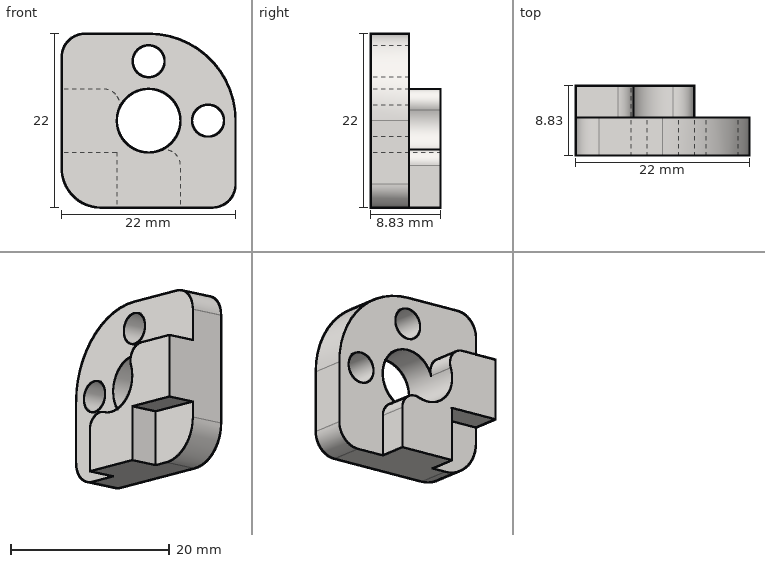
import cadquery as cq
import math

side = 22.0
half = side / 2
plate_thickness = 4.85
small_corner = 3.0
large_corner = 5.0

bore_radius = 4.0
screw_hole_radius = 2.0
screw_offset = 7.5
screw_centres = [(0, screw_offset), (screw_offset, 0)]

arm_height = 3.98
total_depth = plate_thickness + arm_height
arm_half_width = bore_radius
tip_radius = 2.0


def plate_box(x_min, z_min, size):
    """Square block as thick as the plate."""
    return cq.Workplane("XY").box(size, plate_thickness, size, centered=False).translate((x_min, 0, z_min))


def cylinder(x, z, radius):
    """Cylinder along Y through the plate and the arms."""
    axis_start = cq.Vector(x, 0, z)
    return cq.Workplane(cq.Solid.makeCylinder(radius, total_depth, axis_start, cq.Vector(0, 1, 0)))


def mirrored(point):
    """Point reflected across the line x = z."""
    return point[1], point[0]


def make_plate():
    """Square plate with four rounded corners."""
    plate = plate_box(-half, -half, side)
    plate = plate.edges("<X and >Z").fillet(small_corner)
    plate = plate.edges(">X and <Z").fillet(small_corner)
    lower_left = cq.selectors.NearestToPointSelector((-half, plate_thickness / 2, -half))
    plate = plate.edges(lower_left).fillet(large_corner)
    quadrant = plate_box(0, 0, half)
    corner_waste = quadrant.cut(cylinder(0, 0, half))
    return plate.cut(corner_waste)


def make_arms():
    """L of two arms, each blending into the bore with a round tip, mirrored about x = z."""
    width = arm_half_width
    tip_x = width - tip_radius
    tip_z = -math.sqrt((bore_radius + tip_radius)**2 - tip_x**2)
    contact_ratio = bore_radius / (bore_radius + tip_radius)
    bore_contact = (tip_x * contact_ratio, tip_z * contact_ratio)
    side_contact = (width, tip_z)
    diagonal = tip_radius * math.sqrt(0.5)
    tip_middle = (tip_x + diagonal, tip_z + diagonal)
    bore_middle = (-bore_radius * math.sqrt(0.5), -bore_radius * math.sqrt(0.5))

    return (
        cq.Workplane("XZ", origin=(0, plate_thickness, 0))
        .moveTo(-half, width)
        .lineTo(*mirrored(side_contact))
        .threePointArc(mirrored(tip_middle), mirrored(bore_contact))
        .threePointArc(bore_middle, bore_contact)
        .threePointArc(tip_middle, side_contact)
        .lineTo(width, -half)
        .lineTo(-width, -half)
        .lineTo(-width, -width)
        .lineTo(-half, -width)
        .close()
        .extrude(-arm_height)
    )


result = make_plate().union(make_arms())
result = result.cut(cylinder(0, 0, bore_radius))
for x, z in screw_centres:
    result = result.cut(cylinder(x, z, screw_hole_radius))